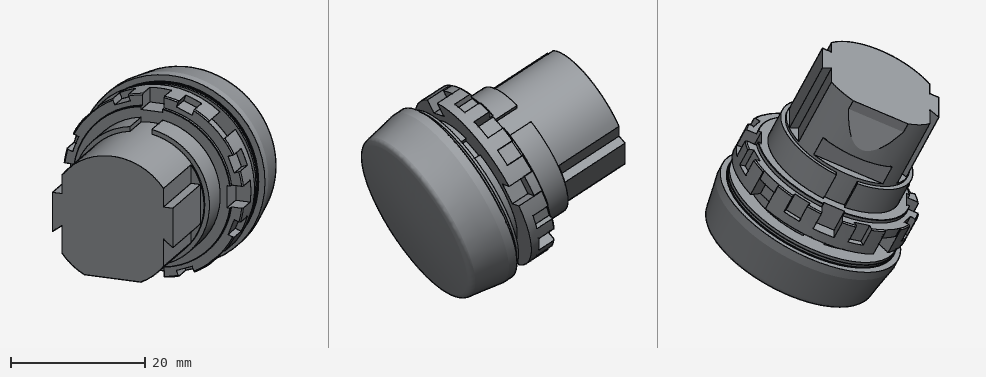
import cadquery as cq
import math


length = 32.65
cap_radius = 14.92
cap_start = 24.1
cap_rim_end = 25.55
cap_top_radius = 13.8
cap_shoulder = 31.8
cap_edge_fillet = 0.98

gasket_radius = 27.8 / 2
bead_radius = 28.0 / 2
gasket_start = 23.02
bead_start = 23.48
bead_end = 23.9

body_radius = 10.95
body_start = 11.6

nut_radius = 14.43
nut_start = 16.62
nut_end = 21.05
nut_chamfer = 0.2
flange_radius = 12.65
flange_start = 16.03
flange_chamfer = 0.05
slot_width = 3.45
slot_floor = 12.0
slot_end = 19.6
recess_start = 18.15
recess_lip_radius = nut_radius - nut_chamfer
pocket_width = 2.68
pocket_floor = 13.4
pocket_angle = 21.6

plug_radius = 20.4 / 2
collar_start = 11.23
flat_offset = 8.13
wing_offset = 9.63
wing_top = 3.23
wing_bottom = -3.0
wing_root_bottom = -1.85
latch_flat = -9.15
latch_flat_end = 1.57
latch_ramp_end = 6.45
notch_start = 7.95
notch_end = 11.1
notch_floor = -8.45


def disc(radius, start, end):
    """Cylinder about the Y axis between two Y positions."""
    return cq.Workplane("XZ", origin=(0, start, 0)).circle(radius).extrude(start - end)


def radial_block(angle, width, inner, outer, start, end):
    """Box reaching outward along a radius at an angle (degrees) from +X in the XZ plane."""
    block = cq.Workplane("XY").box(outer - inner, end - start, width, centered=(False, False, True))
    return block.translate((inner, start, 0)).rotate((0, 0, 0), (0, 1, 0), -angle)


def make_cap():
    dome_mid_radius = cap_top_radius / 2
    dome_rise = length - cap_shoulder
    dome_radius = (cap_top_radius**2 + dome_rise**2) / (2 * dome_rise)
    dome_mid_y = length - dome_radius + math.sqrt(dome_radius**2 - dome_mid_radius**2)
    profile = (
        cq.Workplane("XY")
        .moveTo(0, cap_start)
        .lineTo(cap_radius, cap_start)
        .lineTo(cap_radius, cap_rim_end)
        .lineTo(cap_top_radius, cap_shoulder)
        .threePointArc((dome_mid_radius, dome_mid_y), (0, length))
        .close()
    )
    cap = profile.revolve(360, (0, 0, 0), (0, 1, 0))
    return cap.faces(">Y").edges("%CIRCLE").fillet(cap_edge_fillet)


def make_gasket():
    gasket = disc(gasket_radius, gasket_start, cap_start)
    return gasket.union(disc(bead_radius, bead_start, bead_end))


def make_body():
    body = disc(body_radius, body_start, gasket_start)
    core = disc(plug_radius, body_start, gasket_start)
    for angle in (90, 270):
        body = body.cut(radial_block(angle, slot_width, 0, nut_radius, body_start, gasket_start))
    return body.union(core)


def make_nut():
    ring = disc(nut_radius, nut_start, nut_end).faces("<Y").chamfer(nut_chamfer)
    flange = disc(flange_radius, flange_start, nut_start).faces("<Y").chamfer(flange_chamfer)
    nut = ring.union(flange)
    lip = disc(nut_radius, nut_start, nut_end).cut(disc(recess_lip_radius, nut_start, nut_end))
    for quarter in range(4):
        angle = 90 * quarter
        diagonal = angle + 45
        nut = nut.cut(radial_block(angle, slot_width, slot_floor, cap_radius, flange_start, slot_end))
        for side in (-pocket_angle, pocket_angle):
            nut = nut.cut(
                radial_block(angle + side, pocket_width, pocket_floor, cap_radius, nut_start, slot_end)
            )
        nut = nut.cut(radial_block(diagonal, slot_width, slot_floor, cap_radius, recess_start, nut_end))
        lip_cut = radial_block(diagonal, slot_width, slot_floor, cap_radius, nut_start, recess_start)
        nut = nut.cut(lip.intersect(lip_cut))
    return nut.cut(disc(plug_radius, flange_start, nut_end))


def make_plug():
    collar = disc(plug_radius, collar_start, body_start)
    outline = [
        (flat_offset, plug_radius),
        (flat_offset, wing_top),
        (wing_offset, wing_top),
        (wing_offset, wing_bottom),
        (flat_offset, wing_root_bottom),
        (flat_offset, -plug_radius),
    ]
    mirrored = [(-x, z) for x, z in reversed(outline)]
    section = cq.Workplane("XZ").polyline(outline + mirrored).close().extrude(-collar_start)
    plug = disc(plug_radius, 0, collar_start).intersect(section)

    below = -cap_radius
    ramp = (
        cq.Workplane("YZ")
        .polyline([
            (0, below),
            (0, latch_flat),
            (latch_flat_end, latch_flat),
            (latch_ramp_end, -plug_radius),
            (latch_ramp_end, below),
        ])
        .close()
        .extrude(cap_radius, both=True)
    )
    notch = (
        cq.Workplane("YZ")
        .polyline([
            (notch_start, below),
            (notch_start, notch_floor),
            (notch_end, notch_floor),
            (notch_end, below),
        ])
        .close()
        .extrude(cap_radius, both=True)
    )
    return plug.cut(ramp).cut(notch).union(collar)


result = make_plug().union(make_body()).union(make_nut()).union(make_gasket()).union(make_cap())